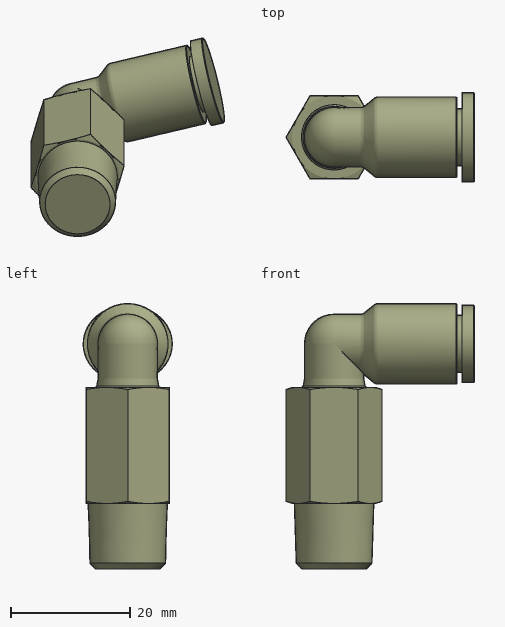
import cadquery as cq
import math

overall_height = 44.6
socket_radius = 6.8

stem_length = 11.0
stem_lead_height = 1.0
stem_end_radius = 5.45
stem_lower_radius = 6.4
stem_upper_radius = 6.7

hex_length = 19.5
hex_flats = 14.0
hex_corners = hex_flats / math.cos(math.pi / 6)
hex_chamfer_angle = math.radians(18)
hex_bottom = stem_length
hex_top = hex_bottom + hex_length

elbow_radius = 5.0
elbow_axis_height = overall_height - socket_radius
collar_step_height = 0.22
collar_height = 1.45
collar_foot_radius = 5.5
collar_radius = 5.2

cone_start = 4.8
cone_end = 7.0
cone_blend_radius = 1.0
socket_end = 20.65
socket_edge_chamfer = 0.15

button_neck_radius = 4.8
button_start = 21.5
button_end = 23.6
button_width = 15.0
button_height = 13.02
button_edge_chamfer = 0.15


def stem():
    """Slightly tapered round stem with a lead-in chamfer."""
    profile = (
        cq.Workplane("XZ")
        .lineTo(stem_end_radius, 0)
        .lineTo(stem_lower_radius, stem_lead_height)
        .lineTo(stem_upper_radius, stem_length)
        .lineTo(0, stem_length)
        .close()
    )
    return profile.revolve(360, (0, 0, 0), (0, 1, 0))


def hex_body():
    """Hexagon with corners on +X and -X, its ends bevelled by cones that start at the flats."""
    prism = (
        cq.Workplane("XY", origin=(0, 0, hex_bottom))
        .polygon(6, hex_corners)
        .extrude(hex_length)
    )
    face_radius = hex_flats / 2
    outer_radius = hex_corners
    bevel_height = (outer_radius - face_radius) * math.tan(hex_chamfer_angle)
    bevels = (
        cq.Workplane("XZ")
        .moveTo(0, hex_bottom)
        .lineTo(face_radius, hex_bottom)
        .lineTo(outer_radius, hex_bottom + bevel_height)
        .lineTo(outer_radius, hex_top - bevel_height)
        .lineTo(face_radius, hex_top)
        .lineTo(0, hex_top)
        .close()
        .revolve(360, (0, 0, 0), (0, 1, 0))
    )
    return prism.intersect(bevels)


def elbow_riser():
    """Vertical tube with a flared collar at its foot and a ball at the bend."""
    tube = (
        cq.Workplane("XZ")
        .moveTo(0, hex_top)
        .lineTo(collar_foot_radius, hex_top)
        .lineTo(collar_radius, hex_top + collar_step_height)
        .lineTo(elbow_radius, hex_top + collar_height)
        .lineTo(elbow_radius, elbow_axis_height)
        .lineTo(0, elbow_axis_height)
        .close()
        .revolve(360, (0, 0, 0), (0, 1, 0))
    )
    ball = cq.Workplane("XY").sphere(elbow_radius).translate((0, 0, elbow_axis_height))
    return tube.union(ball)


def socket():
    """Horizontal tube widening through a blended cone, then the neck of the button."""
    body = (
        cq.Workplane("XZ")
        .lineTo(0, elbow_radius)
        .lineTo(cone_start, elbow_radius)
        .lineTo(cone_end, socket_radius)
        .lineTo(socket_end, socket_radius)
        .lineTo(socket_end, 0)
        .close()
        .revolve(360, (0, 0, 0), (1, 0, 0))
    )
    body = body.faces(">X").chamfer(socket_edge_chamfer)
    selection_margin = 0.45
    cone_edges = cq.selectors.BoxSelector(
        (cone_start - selection_margin, -socket_radius, -socket_radius),
        (cone_end + selection_margin, socket_radius, socket_radius),
    )
    body = body.edges("%CIRCLE").edges(cone_edges).fillet(cone_blend_radius)
    neck = (
        cq.Workplane("YZ", origin=(socket_end, 0, 0))
        .circle(button_neck_radius)
        .extrude(button_start - socket_end)
    )
    return body.union(neck).translate((0, 0, elbow_axis_height))


def release_button():
    """Oval disc, wider along Y than it is tall."""
    return (
        cq.Workplane("YZ", origin=(button_start, 0, elbow_axis_height))
        .ellipse(button_width / 2, button_height / 2)
        .extrude(button_end - button_start)
        .faces(">X")
        .chamfer(button_edge_chamfer)
    )


result = stem().union(hex_body()).union(elbow_riser()).union(socket()).union(release_button())